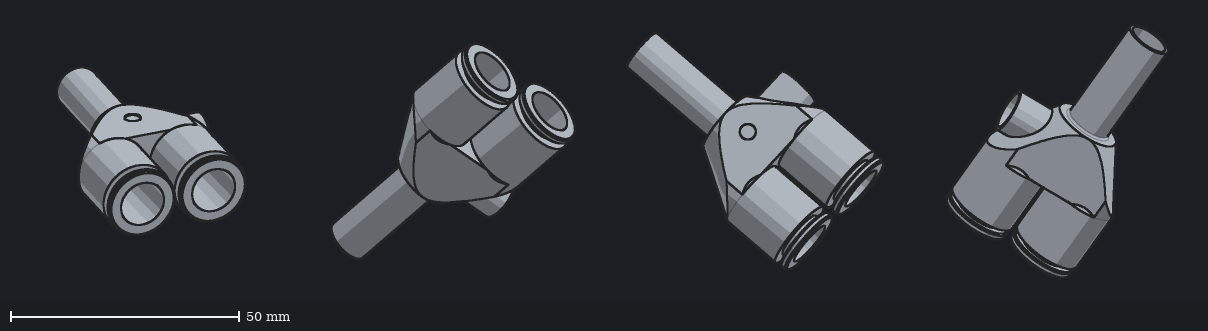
import cadquery as cq
import math


overall_length = 56.67
overall_width = 32.88
half_width = overall_width / 2

full_turn = 360
origin = (0, 0, 0)
x_axis = (1, 0, 0)

tube_radius = 5.0
tube_bore_radius = 4.25
stem_fillet = 0.5

body_start = 24.5
body_end = 39.65
body_half_height = 7.4

arm_radius = 8.0
arm_offset = half_width - arm_radius
arm_end = 53.65
arm_taper_length = 0.85

collar_neck_radius = 5.6
collar_flange_radius = 7.75
collar_bore_radius = 5.1
flange_thickness = 1.7
flange_chamfer = 0.35
flange_start = overall_length - flange_thickness

plug_x = 31.0
plug_bore_depth = 14.0

badge_radius = 1.77
badge_depth = 0.3


def x_cylinder(start, end, radius, y=0.0):
    """Solid cylinder along X between two stations."""
    return cq.Workplane("YZ", origin=(start, y, 0)).circle(radius).extrude(end - start)


def make_stem():
    """Stem tube, with a concave fillet where it meets the body face."""
    root_radius = tube_radius + stem_fillet
    diagonal = stem_fillet * math.sqrt(0.5)
    arc_middle = (body_start - stem_fillet + diagonal, root_radius - diagonal)
    return (
        cq.Workplane("XY")
        .lineTo(0, tube_radius)
        .lineTo(body_start - stem_fillet, tube_radius)
        .threePointArc(arc_middle, (body_start, root_radius))
        .lineTo(body_start, 0)
        .close()
        .revolve(full_turn, origin, x_axis)
    )


def make_body():
    """Cone widening from the stem to the arms, trimmed to the arms' outline and flattened."""
    body_length = body_end - body_start
    cone = (
        cq.Workplane("XY")
        .moveTo(body_start, 0)
        .lineTo(body_start, body_half_height)
        .lineTo(body_end, half_width)
        .lineTo(body_end, 0)
        .close()
        .revolve(full_turn, origin, x_axis)
    )
    section = cq.Workplane("YZ", origin=(body_start, 0, 0))
    arm_outline = section.slot2D(overall_width, 2 * arm_radius).extrude(body_length)
    flats = section.rect(overall_width, 2 * body_half_height).extrude(body_length)
    return cone.intersect(arm_outline).intersect(flats)


def make_arm(y):
    """Arm barrel with a tapered root, a collar neck and a chamfered collar flange."""
    barrel = (
        cq.Workplane("XY", origin=(0, y, 0))
        .moveTo(body_end - arm_taper_length, 0)
        .lineTo(body_end - arm_taper_length, body_half_height)
        .lineTo(body_end, arm_radius)
        .lineTo(arm_end, arm_radius)
        .lineTo(arm_end, 0)
        .close()
        .revolve(full_turn, origin, x_axis)
    )
    neck = x_cylinder(arm_end, flange_start, collar_neck_radius, y)
    flange = x_cylinder(flange_start, overall_length, collar_flange_radius, y)
    flange = flange.edges().chamfer(flange_chamfer)
    return barrel.union(neck).union(flange)


def y_plug(radius, depth):
    """Cylinder running inward from the outer face of the side plug."""
    return cq.Workplane("XZ", origin=(plug_x, half_width, 0)).circle(radius).extrude(depth)


def make_badge():
    """Shallow disc removed from the top flat."""
    return (
        cq.Workplane("XY", origin=(plug_x, 0, body_half_height))
        .circle(badge_radius)
        .extrude(-badge_depth)
    )


result = make_body().union(make_stem()).union(y_plug(tube_radius, half_width))
for arm_y in (-arm_offset, arm_offset):
    result = result.union(make_arm(arm_y))

result = result.cut(x_cylinder(0, body_start, tube_bore_radius))
result = result.cut(y_plug(tube_bore_radius, plug_bore_depth))
for arm_y in (-arm_offset, arm_offset):
    result = result.cut(x_cylinder(body_end, overall_length, collar_bore_radius, arm_y))

result = result.cut(make_badge())